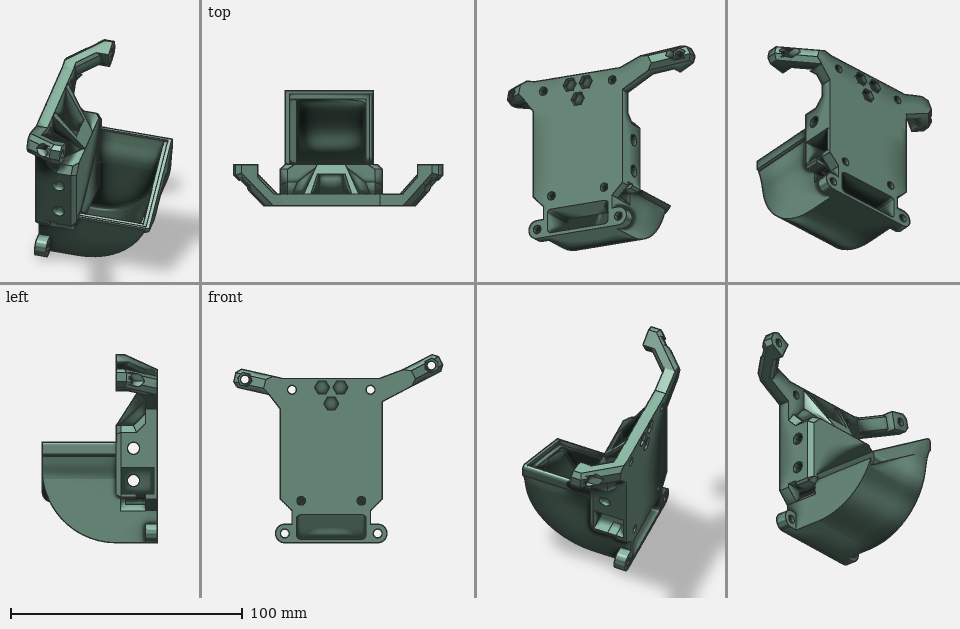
import cadquery as cq
import math

plate_thick = 5.05
plate_half = 22.0
plate_top = 71.0
neck_half = 17.0
neck_top = 13.9
screw_dia = 3.7
ear_radius = 4.1
ear_x = 20.0
upper_screw = (17.0, 66.0)
lower_screw = (13.0, 18.1)
lower_screw_depth = 13.7
left_edge_top = 57.7
right_edge_top = 60.9
arm_root_right = 20.9

hex_flats = 5.6
hex_corners = hex_flats / math.cos(math.pi / 6)
plate_hex_depth = 3.0
plate_hexes = ((-4.0, 67.0), (4.0, 67.0), (0.0, 60.1))

left_arm = ((-37.3, 70.5), 167.3)
right_arm = ((43.2, 76.5), 27.3)
arm_half = 4.1
arm_chamfer = 2.1
arm_end = 4.5
arm_bend = 8.75
arm_root = 11.55
arm_step = 4.8
arm_back = 18.9
arm_back_chamfer = 1.3
arm_nut_floor = 12.2

block_depth = 17.8
block_bottom = 18.9
block_bottom_chamfer = 1.0
block_top = 50.6
block_shoulder_x = 18.9
block_shoulder_z = 47.6
block_back_chamfer = 2.0
gusset = 5.2
gusset_shoulder_drop = 1.3
cross_hole_dia = 5.1
cross_hole_y = 10.3
cross_hole_z = (26.9, 40.8)
window_y = (1.4, 15.4)
window_z = (21.0, 32.6)
window_floor_x = -9.4

rib_half_back = 6.1
rib_half_plate = 11.9
rib_top = 70.4
flank_tip = (6.8, 16.4)
flank_height = 10.9
flank_reach = 21.3
slot_back = 13.8
slot_floor_half = 5.0
slot_back_section = (5.2, 0.9, 5.95)
slot_plate_section = (7.4, 7.2, 8.8)

wall = 2.0
duct_half = neck_half
duct_back = 49.7
duct_radius = duct_back - block_depth
channel_half = duct_half - wall
channel_bottom = 1.5
channel_top = 12.2
channel_front = 18.0
channel_back = 46.1
channel_fillet = 2.0
front_wall_y = 15.9
front_wall_z = 13.8
core_half = 11.9
nut_slot_back = 9.1
nut_slot_z = (18.2, 20.6)
nut_slot_inner_x = 12.5

seat_angle = 30.0
seat_left = -19.9
seat_right = 18.1
seat_left_z = 44.5
seat_length = (seat_right - seat_left) / math.cos(math.radians(seat_angle))
seat_depth = 5.4
seat_recess = 2.0
seat_rim = 0.7
seat_rim_left = 2.35
mouth_depth = 0.7
seat_back_rim = 1.5
seat_corner_fillet = 1.4
seat_under_z = 17.5
seat_under_fillet = 4.5
flare_bottom = 27.4
flare_top = 37.35
flare_offset = 2.1

clear = 18.0


def prism_y(points, y_from, y_to):
    """Extrude an (x, z) polygon from y_from to y_to."""
    sketch = cq.Workplane("XZ", origin=(0, y_from, 0)).polyline(points).close()
    return sketch.extrude(-(y_to - y_from))


def cylinder_y(x, z, diameter, y_from, y_to):
    sketch = cq.Workplane("XZ", origin=(x, y_from, z)).circle(diameter / 2)
    return sketch.extrude(-(y_to - y_from))


def hexagon_y(x, z, y_from, y_to):
    """Hexagonal prism along Y with two corners on its local X axis."""
    sketch = cq.Workplane("XZ", origin=(x, y_from, z)).polygon(6, hex_corners)
    return sketch.extrude(-(y_to - y_from))


def box(x_range, y_range, z_range):
    size = [high - low for low, high in (x_range, y_range, z_range)]
    corner = (x_range[0], y_range[0], z_range[0])
    return cq.Workplane("XY").box(*size, centered=False).translate(corner)


def mirrored(shape):
    return shape.union(shape.mirror("YZ"))


def tetrahedron(a, b, c, d):
    faces = []
    for corners in ((a, b, c), (a, b, d), (a, c, d), (b, c, d)):
        wire = cq.Wire.makePolygon([cq.Vector(*p) for p in corners], close=True)
        faces.append(cq.Face.makeFromWires(wire))
    return cq.Workplane(cq.Solid.makeSolid(cq.Shell.makeShell(faces)))


def arm_point(arm, inward, across):
    """(x, z) of a point given along and across an arm, from its hole centre."""
    (x, z), angle = arm
    c = math.cos(math.radians(angle))
    s = math.sin(math.radians(angle))
    return (x - inward * c - across * s, z - inward * s + across * c)


def place_on_arm(shape, arm):
    """Move a shape from the arm's own axes (X outward along it) to its place."""
    (x, z), angle = arm
    return shape.rotate((0, 0, 0), (0, 1, 0), -angle).translate((x, 0, z))


def make_plate():
    (_, hole_z), angle = left_arm
    tilt = math.radians(180 - angle)
    left_edge_length = (hole_z + arm_half * math.cos(tilt) - plate_top) / math.sin(tilt)

    outline = [
        (-neck_half, 0),
        (neck_half, 0),
        (neck_half, neck_top),
        (plate_half, neck_top + plate_half - neck_half),
        (plate_half, right_edge_top),
        arm_point(right_arm, arm_root, -arm_half),
        arm_point(right_arm, arm_root, arm_half),
        (arm_root_right, plate_top),
        arm_point(left_arm, left_edge_length, -arm_half),
        arm_point(left_arm, arm_root, -arm_half),
        arm_point(left_arm, arm_root, arm_half),
        (-plate_half, left_edge_top),
        (-plate_half, neck_top + plate_half - neck_half),
        (-neck_half, neck_top),
    ]
    ears = box((-ear_x, ear_x), (0, plate_thick), (0, 2 * ear_radius))
    for x in (-ear_x, ear_x):
        ears = ears.union(cylinder_y(x, ear_radius, 2 * ear_radius, 0, plate_thick))
    return prism_y(outline, 0, plate_thick).union(ears)


def make_arm(arm):
    """Arm bent back at 45 degrees, with chamfered ramp edges and tip corners."""
    foot = arm_back - plate_thick
    profile = [
        (-foot, 0),
        (-arm_bend, 0),
        (arm_end, arm_bend + arm_end),
        (arm_end, block_depth),
        (-arm_step, block_depth),
        (-arm_step, arm_back - arm_step),
        (-foot, plate_thick),
    ]
    body = cq.Workplane("XY").polyline(profile).close().extrude(arm_half, both=True)

    tip = [
        (-clear, -arm_half),
        (arm_end - arm_chamfer, -arm_half),
        (arm_end, -arm_half + arm_chamfer),
        (arm_end, arm_half - arm_chamfer),
        (arm_end - arm_chamfer, arm_half),
        (-clear, arm_half),
    ]
    body = body.intersect(prism_y(tip, 0, block_depth))

    ramp = cq.Plane(origin=(-arm_bend, 0, 0), xDir=(1, -1, 0), normal=(1, 1, 0))
    section = [
        (-clear, -arm_half),
        (-arm_chamfer, -arm_half),
        (0, -arm_half + arm_chamfer),
        (0, arm_half - arm_chamfer),
        (-arm_chamfer, arm_half),
        (-clear, arm_half),
    ]
    bar = cq.Workplane(ramp).polyline(section).close().extrude(2 * clear, both=True)
    body = body.intersect(bar)

    back = -(arm_back - arm_bend) / math.sqrt(2)
    behind_ramp = box((-clear, -arm_step), (plate_thick, block_depth), (-clear, clear))
    for side in (-1, 1):
        corner = [
            (back, side * arm_half),
            (back + arm_back_chamfer, side * arm_half),
            (back, side * (arm_half - arm_back_chamfer)),
        ]
        strip = cq.Workplane(ramp).polyline(corner).close().extrude(2 * clear, both=True)
        body = body.cut(strip.intersect(behind_ramp))
    return place_on_arm(body, arm)


def make_left_arm_web():
    """Corner web that carries the back of the left arm's ramp onto the plate's sloping edge."""
    foot = arm_back - plate_thick
    corner_x, corner_z = arm_point(left_arm, arm_root, arm_half)
    inner_x, inner_z = arm_point(left_arm, foot, arm_half)
    edge_z = corner_z - (foot - arm_root)
    edge_x = corner_x + (corner_z - edge_z) * (-plate_half - corner_x) / (corner_z - left_edge_top)
    return tetrahedron(
        (corner_x, plate_thick, corner_z),
        (corner_x, arm_back - arm_root, corner_z),
        (inner_x, plate_thick, inner_z),
        (edge_x, plate_thick, edge_z),
    )


def cut_arm_fixings(arm):
    hole = cylinder_y(0, 0, screw_dia, 0, block_depth)
    nut = hexagon_y(0, 0, 0, arm_nut_floor)
    return place_on_arm(hole.union(nut), arm)


def make_block():
    inset = plate_half - block_bottom_chamfer

    def outline(shoulder_z):
        half = [
            (inset, block_bottom),
            (plate_half, block_bottom + block_bottom_chamfer),
            (plate_half, shoulder_z),
            (block_shoulder_x, block_top),
        ]
        return half + [(-x, z) for x, z in reversed(half)]

    block = prism_y(outline(block_shoulder_z), 0, block_depth)
    block = block.faces(">Y").edges("not |X").chamfer(block_back_chamfer)
    lower_edge = [
        (block_depth, block_bottom),
        (block_depth, block_bottom + block_back_chamfer),
        (block_depth - block_back_chamfer, block_bottom),
    ]
    block = block.cut(cq.Workplane("YZ").polyline(lower_edge).close().extrude(plate_half, both=True))

    gusset_y = plate_thick + gusset
    corners = [cq.Vector(x, gusset_y, z) for x, z in outline(block_shoulder_z - gusset_shoulder_drop)]
    wire = cq.Wire.makePolygon(corners, close=True)
    rise = cq.Solid.extrudeLinear(wire, [], cq.Vector(0, -gusset, gusset))

    foot = core_half + block_bottom - front_wall_z
    core = [
        (-foot, front_wall_z),
        (foot, front_wall_z),
        (core_half, block_bottom),
        (-core_half, block_bottom),
    ]
    return block.union(cq.Workplane(rise)).union(prism_y(core, 0, front_wall_y))


def make_rib():
    plan = [
        (-rib_half_plate, plate_thick),
        (rib_half_plate, plate_thick),
        (rib_half_back, block_depth),
        (-rib_half_back, block_depth),
    ]
    slope = [(plate_thick, block_top), (plate_thick, rib_top), (block_depth, block_top)]
    walls = cq.Workplane("XY", origin=(0, 0, block_top)).polyline(plan).close().extrude(rib_top - block_top)
    ramp = cq.Workplane("YZ").polyline(slope).close().extrude(clear, both=True)
    flank = tetrahedron(
        (*flank_tip, block_top),
        (rib_half_plate, plate_thick, block_top + flank_height),
        (flank_reach, plate_thick, block_top),
        (rib_half_plate, plate_thick, block_top),
    )
    return walls.intersect(ramp).union(mirrored(flank))


def cut_rib_slot():
    """Slot open to the ramp, widening towards the plate."""

    def section(y, sizes, top_z):
        mid_half, mid_height, top_half = sizes
        half = [
            (slot_floor_half, block_top),
            (mid_half, block_top + mid_height),
            (top_half, top_z),
        ]
        points = half + [(-x, z) for x, z in reversed(half)]
        return cq.Wire.makePolygon([cq.Vector(x, y, z) for x, z in points], close=True)

    ramp_slope = (rib_top - block_top) / (block_depth - plate_thick)
    back = section(slot_back, slot_back_section, block_top + ramp_slope * (block_depth - slot_back))
    front = section(plate_thick, slot_plate_section, rib_top)
    return cq.Workplane(cq.Solid.makeLoft([back, front], True))


def seat_point(along, below):
    """(x, z) at a distance along the sloping rim and a depth square to it."""
    c = math.cos(math.radians(seat_angle))
    s = math.sin(math.radians(seat_angle))
    return (seat_left + along * c - below * s, seat_left_z - along * s - below * c)


def flare_profile(base_x):
    """Outline between the sloping rim and z = 0 with its left side flaring out from base_x."""
    rise = flare_top - flare_bottom
    radius = (rise**2 + flare_offset**2) / (2 * flare_offset)
    half_turn = math.atan2(rise, radius - flare_offset) / 2
    mid = (
        base_x - radius * (1 - math.cos(half_turn)),
        flare_bottom + radius * math.sin(half_turn),
    )
    right_x, right_z = seat_point(seat_length, seat_recess)
    return (
        cq.Workplane("XZ")
        .moveTo(-base_x, 0)
        .lineTo(base_x, 0)
        .lineTo(base_x, flare_bottom)
        .threePointArc(mid, (base_x - flare_offset, flare_top))
        .lineTo(*seat_point(seat_rim_left, seat_recess))
        .lineTo(right_x, right_z)
        .lineTo(-base_x, right_z)
        .close()
    )


def make_duct():
    side = (
        cq.Workplane("YZ")
        .moveTo(0, 0)
        .lineTo(block_depth, 0)
        .radiusArc((duct_back, duct_radius), -duct_radius)
        .lineTo(duct_back, seat_left_z)
        .lineTo(front_wall_y, seat_left_z)
        .lineTo(front_wall_y, front_wall_z)
        .lineTo(0, front_wall_z)
        .close()
        .extrude(2 * clear, both=True)
    )
    return flare_profile(-duct_half).extrude(-duct_back).intersect(side)


def make_seat():
    left_under_z = seat_left_z - seat_depth / math.cos(math.radians(seat_angle))
    frame = [
        (seat_left, seat_left_z),
        seat_point(seat_length, 0),
        seat_point(seat_length, seat_depth),
        (seat_left, left_under_z),
    ]
    seat = prism_y(frame, block_depth, duct_back)
    corner = (seat_left, (block_depth + duct_back) / 2, seat_left_z)
    seat = seat.edges(cq.selectors.NearestToPointSelector(corner)).fillet(seat_corner_fillet)

    envelope = box((-plate_half, plate_half), (0, duct_back), (seat_under_z, seat_left_z))
    envelope = envelope.edges("|X and >Y and <Z").fillet(seat_under_fillet)
    return seat.intersect(envelope)


def cut_seat():
    """Fan recess and the straight mouth of the channel below it."""

    def tilted_box(left, right, depth, y_to):
        outline = [
            seat_point(left, -clear),
            seat_point(right, -clear),
            seat_point(right, depth),
            seat_point(left, depth),
        ]
        return prism_y(outline, block_depth, y_to)

    right = seat_length - seat_rim
    recess = tilted_box(seat_rim_left, right, seat_recess, duct_back - seat_back_rim)
    mouth = tilted_box(seat_rim_left, right, seat_recess + mouth_depth, channel_back)
    across = box((-channel_half, channel_half), (block_depth, duct_back), (0, seat_left_z))
    return recess.union(mouth.intersect(across))


def cut_channel():
    radius = channel_back - block_depth
    profile = (
        cq.Workplane("YZ")
        .moveTo(-clear, channel_bottom)
        .lineTo(block_depth, channel_bottom)
        .radiusArc((channel_back, channel_bottom + radius), -radius)
        .lineTo(channel_back, plate_top)
        .lineTo(channel_front, plate_top)
        .lineTo(channel_front, channel_top + wall)
        .radiusArc((channel_front - wall, channel_top), wall)
        .lineTo(-clear, channel_top)
        .close()
    )
    channel = profile.extrude(channel_half, both=True)
    channel = channel.faces("<X or >X").edges().fillet(channel_fillet)
    flare = flare_profile(-channel_half).extrude(-channel_back)
    flare = flare.intersect(
        box((-plate_half, 0), (channel_front, channel_back), (flare_bottom, plate_top))
    )
    return channel.union(flare)


def cut_side_features():
    """Cross holes, the rectangular window in the -X side and the nut slots under the block."""
    cuts = box((-plate_half, window_floor_x), window_y, window_z)
    for z in cross_hole_z:
        hole = cq.Workplane("YZ", origin=(-plate_half, cross_hole_y, z)).circle(cross_hole_dia / 2)
        cuts = cuts.union(hole.extrude(2 * plate_half))

    low, high = nut_slot_z
    slot = [
        (nut_slot_inner_x, low),
        (plate_half, low),
        (plate_half, high),
        (nut_slot_inner_x + high - low, high),
    ]
    return cuts.union(mirrored(prism_y(slot, plate_thick, nut_slot_back)))


def cut_plate_features():
    cuts = hexagon_y(*plate_hexes[0], 0, plate_hex_depth)
    for x, z in plate_hexes[1:]:
        cuts = cuts.union(hexagon_y(x, z, 0, plate_hex_depth))
    for x, z, depth in (
        (ear_x, ear_radius, plate_thick),
        (*upper_screw, plate_thick),
        (*lower_screw, lower_screw_depth),
    ):
        cuts = cuts.union(mirrored(cylinder_y(x, z, screw_dia, 0, depth)))
    return cuts


result = make_duct().union(make_seat()).union(make_block())
result = result.union(make_rib()).cut(cut_rib_slot())
result = result.union(make_plate())
result = result.union(make_arm(left_arm)).union(make_arm(right_arm))
result = result.union(make_left_arm_web())
for cut in (cut_seat(), cut_channel(), cut_side_features(), cut_plate_features()):
    result = result.cut(cut)
for arm in (left_arm, right_arm):
    result = result.cut(cut_arm_fixings(arm))